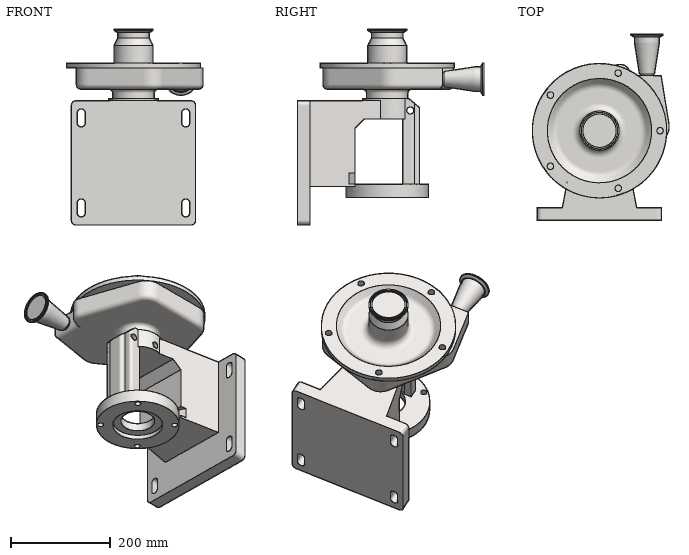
import cadquery as cq
import math


PLATE_SIDE = 250.0
PLATE_THICKNESS = 25.5
PLATE_CORNER_RADIUS = 10.0
PLATE_FRONT_Y = -180.5
PLATE_BACK_Y = PLATE_FRONT_Y + PLATE_THICKNESS
SLOT_WIDTH = 15.8
SLOT_LENGTH = 36.0
SLOT_SPACING_X = 210.0
SLOT_SPACING_Z = 181.0
SLOT_CENTRE_Z = PLATE_SIDE / 2

RING_RADIUS = 83.0
RING_BORE_RADIUS = 34.0
RING_BOTTOM_Z = 55.0
RING_TOP_Z = 82.5
RING_RECESS_RADIUS = 50.0
RING_LIP_THICKNESS = 17.7
RING_BOLT_CIRCLE_RADIUS = 74.5
RING_BOLT_HOLE_DIAMETER = 12.0
RING_BOLT_COUNT = 4

HUB_RADIUS = 50.0
HUB_BOTTOM_Z = 213.0
HUB_TOP_Z = 254.0
HUB_HOLE_DIAMETER = 13.8
HUB_HOLE_Z = 226.5
HUB_HOLE_DEPTH = 12.0

BRACKET_PLATE_WIDTH = 149.7
BRACKET_TAPER_ANGLE = 10.7
BRACKET_LEG_BOTTOM_Z = 77.2
BRACKET_LEG_BACK_Y = -64.5
BRACKET_GUSSET = 18.5
NOTCH_DEPTH = 19.5
NOTCH_ANGLE = 25
NOTCH_HEIGHT = 22.0

PILLAR_WIDTH = 71.0
PILLAR_FRONT_Y = 30.7
PILLAR_BACK_Y = 55.0
PILLAR_CORNER_RADIUS = 6.5
PILLAR_BORE_RADIUS = 37.0
RIB_WIDTH = 35.5
RIB_BACK_Y = 65.0
RIB_CORNER_RADIUS = 5.5
REAR_CHAMFER_Y = 21.3
REAR_CHAMFER_Z = 17.7
PILLAR_HOLE_DIAMETER = 13.8
PILLAR_HOLE_Y = 46.5
PILLAR_HOLE_Z = 230.5

FLANGE_RADIUS = 135.0
FLANGE_TOP_Z = 326.0
FLANGE_THICKNESS = 10.0
FLANGE_BOLT_CIRCLE_RADIUS = 121.7
FLANGE_BOLT_HOLE_DIAMETER = 13.0
FLANGE_BOLT_HOLE_DEPTH = 27.5
SIDE_COUNT = 5
SIDE_ANGLE = 360 / SIDE_COUNT
CASING_APOTHEM = 115.0
CASING_CORNER_RADIUS = 34.3
CASING_TOP_Z = FLANGE_TOP_Z - FLANGE_THICKNESS
CASING_BOTTOM_Z = 273.0
CASING_BOTTOM_FILLET = 9.5
OUTLET_FACE_Y = 110.7
OUTLET_CORNER_X = 124.0
OUTLET_INNER_X = 65.0
OUTLET_SIDE_ANGLE = 9.2
SHOULDER_X = 52.0
SHOULDER_RADIUS = 19.7

NECK_RADIUS = 41.8
NECK_FILLET = 8.3

DISH_RADIUS = 105.0
DISH_DEPTH = 15.0
DISH_WALL_ANGLE = 45
DISH_FLOOR_FILLET = 15.0

INLET_RADIUS = 39.5
INLET_TAPER_START_Z = 361.0
INLET_TAPER_END_Z = 376.0
INLET_PIPE_RADIUS = 32.0
INLET_END_Z = 394.0

OUTLET_X = 95.5
OUTLET_Z = 293.5
OUTLET_NECK_RADIUS = 13.0
OUTLET_NECK_LENGTH = 3.0
OUTLET_CONE_RADIUS = 15.5
OUTLET_PIPE_RADIUS = 25.2
OUTLET_PIPE_LENGTH = 18.0
OUTLET_FERRULE_RADIUS = 32.7
OUTLET_END_Y = 194.5

FERRULE_RIM = 2.8
FERRULE_LENGTH = 6.5
FERRULE_FOOT = 1.5
GROOVE_INSET = 2.8
GROOVE_WIDTH = 3.0
GROOVE_DEPTH = 1.0


def polar(radius, degrees):
    angle = math.radians(degrees)
    return (radius * math.cos(angle), radius * math.sin(angle))


def line_crossing(first, second):
    """Crossing point of two lines, each given as (normal angle, distance from the origin)."""
    (angle_1, distance_1), (angle_2, distance_2) = first, second
    nx_1, ny_1 = polar(1, angle_1)
    nx_2, ny_2 = polar(1, angle_2)
    determinant = nx_1 * ny_2 - nx_2 * ny_1
    x = (distance_1 * ny_2 - distance_2 * ny_1) / determinant
    y = (nx_1 * distance_2 - nx_2 * distance_1) / determinant
    return (x, y)


def disc(radius, bottom, top):
    return cq.Workplane("XY").workplane(offset=bottom).circle(radius).extrude(top - bottom)


def block(width, front_y, back_y, bottom, top):
    """Box centred on X = 0."""
    box = cq.Workplane("XY").box(width, back_y - front_y, top - bottom, centered=(True, False, False))
    return box.translate((0, front_y, bottom))


def drill_down(body, points, diameter, top, depth):
    drills = cq.Workplane("XY").workplane(offset=top).pushPoints(points).circle(diameter / 2).extrude(-depth)
    return body.cut(drills)


def ferrule_profile(profile, rim_radius, pipe_radius, end):
    """Continue a half profile up a pipe, around its grooved clamp ferrule and back to the axis."""
    groove_outer = rim_radius - GROOVE_INSET
    groove_inner = groove_outer - GROOVE_WIDTH
    return (
        profile
        .lineTo(pipe_radius, end - FERRULE_LENGTH)
        .lineTo(pipe_radius + FERRULE_FOOT, end - FERRULE_LENGTH)
        .lineTo(rim_radius, end - FERRULE_RIM)
        .lineTo(rim_radius, end)
        .lineTo(groove_outer, end)
        .lineTo(groove_outer, end - GROOVE_DEPTH)
        .lineTo(groove_inner, end - GROOVE_DEPTH)
        .lineTo(groove_inner, end)
        .lineTo(0, end)
    )


def make_plate():
    plate = block(PLATE_SIDE, PLATE_FRONT_Y, PLATE_BACK_Y, 0, PLATE_SIDE)
    plate = plate.edges("|Y").fillet(PLATE_CORNER_RADIUS)
    slots = (
        cq.Workplane("XZ", origin=(0, PLATE_BACK_Y, SLOT_CENTRE_Z))
        .rarray(SLOT_SPACING_X, SLOT_SPACING_Z, 2, 2)
        .slot2D(SLOT_LENGTH, SLOT_WIDTH, 90)
        .extrude(PLATE_THICKNESS)
    )
    return plate.cut(slots)


def make_ring(bolt_points):
    ring = disc(RING_RADIUS, RING_BOTTOM_Z, RING_TOP_Z)
    ring = ring.cut(disc(RING_BORE_RADIUS, RING_BOTTOM_Z, RING_TOP_Z))
    ring = ring.cut(disc(RING_RECESS_RADIUS, RING_BOTTOM_Z, RING_TOP_Z - RING_LIP_THICKNESS))
    return drill_down(ring, bolt_points, RING_BOLT_HOLE_DIAMETER, RING_TOP_Z, RING_TOP_Z - RING_BOTTOM_Z)


def make_bracket():
    """Arm and leg cut from one side profile, narrowing in plan from the plate to the hub."""
    gusset_front_y = BRACKET_LEG_BACK_Y + BRACKET_GUSSET
    side = (
        cq.Workplane("YZ")
        .moveTo(PLATE_BACK_Y, BRACKET_LEG_BOTTOM_Z)
        .lineTo(BRACKET_LEG_BACK_Y, BRACKET_LEG_BOTTOM_Z)
        .lineTo(BRACKET_LEG_BACK_Y, HUB_BOTTOM_Z - BRACKET_GUSSET)
        .lineTo(gusset_front_y, HUB_BOTTOM_Z)
        .lineTo(0, HUB_BOTTOM_Z)
        .lineTo(0, PLATE_SIDE)
        .lineTo(PLATE_BACK_Y, PLATE_SIDE)
        .close()
        .extrude(BRACKET_PLATE_WIDTH / 2, both=True)
    )
    slope = math.tan(math.radians(BRACKET_TAPER_ANGLE))
    plate_half = BRACKET_PLATE_WIDTH / 2
    axis_half = plate_half + slope * PLATE_BACK_Y
    root = math.sqrt(HUB_RADIUS**2 * (1 + slope**2) - axis_half**2)
    meet_y = (slope * axis_half - root) / (1 + slope**2)
    meet_half = axis_half - slope * meet_y
    plan = (
        cq.Workplane("XY")
        .polyline([
            (-plate_half, PLATE_BACK_Y),
            (plate_half, PLATE_BACK_Y),
            (meet_half, meet_y),
            (-meet_half, meet_y),
        ])
        .close()
        .extrude(PLATE_SIDE)
    )
    return side.intersect(plan).cut(bolt_notch(1)).cut(bolt_notch(-1))


def bolt_notch(direction):
    """Wedge that clears a ring bolt at one corner of the leg; direction is the sign of X."""
    outer_x = BRACKET_PLATE_WIDTH / 2
    inner_x = outer_x - NOTCH_DEPTH / math.tan(math.radians(NOTCH_ANGLE))
    return (
        cq.Workplane("XY")
        .workplane(offset=RING_TOP_Z)
        .polyline([
            (direction * inner_x, BRACKET_LEG_BACK_Y),
            (direction * outer_x, BRACKET_LEG_BACK_Y),
            (direction * outer_x, BRACKET_LEG_BACK_Y - NOTCH_DEPTH),
        ])
        .close()
        .extrude(NOTCH_HEIGHT)
    )


def make_pillar():
    wall = block(PILLAR_WIDTH, PILLAR_FRONT_Y, PILLAR_BACK_Y, RING_TOP_Z, HUB_TOP_Z)
    wall = wall.edges("|Z and >Y").fillet(PILLAR_CORNER_RADIUS)
    rib = block(RIB_WIDTH, PILLAR_FRONT_Y, RIB_BACK_Y, RING_TOP_Z, HUB_TOP_Z)
    rib = rib.edges("|Z and >Y").fillet(RIB_CORNER_RADIUS)
    return wall.union(rib).cut(disc(PILLAR_BORE_RADIUS, RING_TOP_Z, HUB_TOP_Z))


def make_hub():
    hub = disc(HUB_RADIUS, HUB_BOTTOM_Z, HUB_TOP_Z)
    side_hole = (
        cq.Workplane("YZ", origin=(-HUB_RADIUS, 0, HUB_HOLE_Z))
        .circle(HUB_HOLE_DIAMETER / 2)
        .extrude(HUB_HOLE_DEPTH)
    )
    return hub.cut(side_hole)


def rear_chamfer():
    """Sloping cut across the rear top edge of the pillar and the hub."""
    return (
        cq.Workplane("YZ")
        .polyline([
            (RIB_BACK_Y - REAR_CHAMFER_Y, HUB_TOP_Z),
            (RIB_BACK_Y, HUB_TOP_Z - REAR_CHAMFER_Z),
            (RIB_BACK_Y, HUB_TOP_Z),
        ])
        .close()
        .extrude(HUB_RADIUS, both=True)
    )


def pillar_cross_hole():
    return (
        cq.Workplane("YZ", origin=(0, PILLAR_HOLE_Y, PILLAR_HOLE_Z))
        .circle(PILLAR_HOLE_DIAMETER / 2)
        .extrude(PILLAR_WIDTH / 2, both=True)
    )


def make_casing():
    sides = [(SIDE_ANGLE * (k + 0.5), CASING_APOTHEM) for k in range(SIDE_COUNT)]
    round_corners = [line_crossing(sides[k], sides[k + 1]) for k in range(1, SIDE_COUNT - 1)]
    normal_x, normal_y = polar(1, OUTLET_SIDE_ANGLE)
    outlet_side = (OUTLET_SIDE_ANGLE, OUTLET_CORNER_X * normal_x + OUTLET_FACE_Y * normal_y)
    round_corners.append(line_crossing(sides[-1], outlet_side))
    shoulder_line = (0, SHOULDER_X)
    shoulder = line_crossing(sides[1], shoulder_line)
    outlet_corners = [(OUTLET_CORNER_X, OUTLET_FACE_Y), (OUTLET_INNER_X, OUTLET_FACE_Y)]

    casing = (
        cq.Workplane("XY")
        .workplane(offset=CASING_BOTTOM_Z)
        .polyline([shoulder] + round_corners + outlet_corners)
        .close()
        .extrude(CASING_TOP_Z - CASING_BOTTOM_Z)
    )
    for points, radius in ((round_corners, CASING_CORNER_RADIUS), ([shoulder], SHOULDER_RADIUS)):
        for x, y in points:
            nearest = cq.selectors.NearestToPointSelector((x, y, (CASING_BOTTOM_Z + CASING_TOP_Z) / 2))
            casing = casing.edges("|Z").edges(nearest).fillet(radius)
    return casing.faces("<Z").edges().fillet(CASING_BOTTOM_FILLET)


def make_dish():
    """Ring-shaped hollow with a sloping wall, rounded into the floor and into the inlet pipe."""
    floor_z = FLANGE_TOP_Z - DISH_DEPTH
    wall_sin, wall_half_sin = (math.sin(math.radians(DISH_WALL_ANGLE * part)) for part in (1, 0.5))
    wall_cos, wall_half_cos = (math.cos(math.radians(DISH_WALL_ANGLE * part)) for part in (1, 0.5))
    wall_end_z = floor_z + DISH_FLOOR_FILLET * (1 - wall_cos)
    wall_end_x = DISH_RADIUS - (FLANGE_TOP_Z - wall_end_z) * wall_cos / wall_sin
    floor_end_x = wall_end_x - DISH_FLOOR_FILLET * wall_sin
    fillet_middle = (
        floor_end_x + DISH_FLOOR_FILLET * wall_half_sin,
        floor_z + DISH_FLOOR_FILLET * (1 - wall_half_cos),
    )
    root_radius = INLET_RADIUS + DISH_DEPTH
    root_diagonal = DISH_DEPTH * math.sqrt(0.5)
    return (
        cq.Workplane("XZ")
        .moveTo(INLET_RADIUS, FLANGE_TOP_Z)
        .lineTo(DISH_RADIUS, FLANGE_TOP_Z)
        .lineTo(wall_end_x, wall_end_z)
        .threePointArc(fillet_middle, (floor_end_x, floor_z))
        .lineTo(root_radius, floor_z)
        .threePointArc(
            (root_radius - root_diagonal, FLANGE_TOP_Z - root_diagonal),
            (INLET_RADIUS, FLANGE_TOP_Z),
        )
        .close()
        .revolve(360, (0, 0, 0), (0, 1, 0))
    )


def make_pump():
    pump = make_casing().union(disc(FLANGE_RADIUS, CASING_TOP_Z, FLANGE_TOP_Z)).cut(make_dish())
    bolt_points = [polar(FLANGE_BOLT_CIRCLE_RADIUS, SIDE_ANGLE * k) for k in range(SIDE_COUNT)]
    return drill_down(pump, bolt_points, FLANGE_BOLT_HOLE_DIAMETER, FLANGE_TOP_Z, FLANGE_BOLT_HOLE_DEPTH)


def make_neck():
    flare_diagonal = NECK_FILLET * math.sqrt(0.5)
    flare_radius = NECK_RADIUS + NECK_FILLET
    flare_z = CASING_BOTTOM_Z - NECK_FILLET
    return (
        cq.Workplane("XZ")
        .moveTo(0, HUB_TOP_Z)
        .lineTo(NECK_RADIUS, HUB_TOP_Z)
        .lineTo(NECK_RADIUS, flare_z)
        .threePointArc(
            (flare_radius - flare_diagonal, flare_z + flare_diagonal),
            (flare_radius, CASING_BOTTOM_Z),
        )
        .lineTo(0, CASING_BOTTOM_Z)
        .close()
        .revolve(360, (0, 0, 0), (0, 1, 0))
    )


def make_inlet():
    root_z = FLANGE_TOP_Z - DISH_DEPTH
    profile = (
        cq.Workplane("XZ")
        .moveTo(0, root_z)
        .lineTo(INLET_RADIUS, root_z)
        .lineTo(INLET_RADIUS, INLET_TAPER_START_Z)
        .lineTo(INLET_PIPE_RADIUS, INLET_TAPER_END_Z)
    )
    profile = ferrule_profile(profile, INLET_RADIUS, INLET_PIPE_RADIUS, INLET_END_Z)
    return profile.close().revolve(360, (0, 0, 0), (0, 1, 0))


def make_outlet():
    cone_start_y = OUTLET_FACE_Y + OUTLET_NECK_LENGTH
    profile = (
        cq.Workplane("XY")
        .moveTo(0, OUTLET_FACE_Y)
        .lineTo(OUTLET_NECK_RADIUS, OUTLET_FACE_Y)
        .lineTo(OUTLET_NECK_RADIUS, cone_start_y)
        .lineTo(OUTLET_CONE_RADIUS, cone_start_y)
        .lineTo(OUTLET_PIPE_RADIUS, OUTLET_END_Y - OUTLET_PIPE_LENGTH)
    )
    profile = ferrule_profile(profile, OUTLET_FERRULE_RADIUS, OUTLET_PIPE_RADIUS, OUTLET_END_Y)
    outlet = profile.close().revolve(360, (0, 0, 0), (0, 1, 0))
    return outlet.translate((OUTLET_X, 0, OUTLET_Z))


ring_bolt_points = [
    polar(RING_BOLT_CIRCLE_RADIUS, 360 / RING_BOLT_COUNT * (k + 0.5)) for k in range(RING_BOLT_COUNT)
]

frame = (
    make_plate()
    .union(make_bracket())
    .union(make_ring(ring_bolt_points))
    .union(make_pillar())
    .union(make_hub())
    .cut(rear_chamfer())
    .cut(pillar_cross_hole())
)

result = frame.union(make_neck()).union(make_pump()).union(make_inlet()).union(make_outlet())